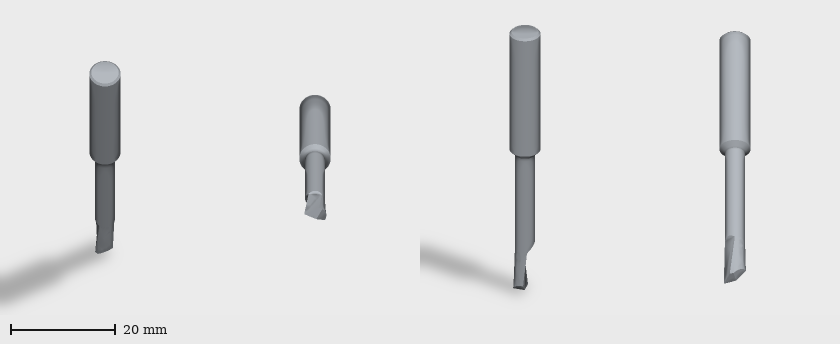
import cadquery as cq
import math

total_length = 57.0
shank_radius = 2.99
shank_bottom = 31.1
top_chamfer = 0.4
neck_radius = 1.95
neck_bottom = 9.1

tip_radius = 2.3
twist_angle = 26.0
heel_angle = 84.0
end_rise_x = 2.5
end_rise_y = 5.5
back_chamfer_x = 0.15
cutter_size = 11.4


def polar(radius, degrees):
    angle = math.radians(degrees)
    return (radius * math.cos(angle), radius * math.sin(angle))


def make_body():
    """Chamfered shank with a 45 degree shoulder down to the neck."""
    shoulder_height = shank_radius - neck_radius
    profile = (
        cq.Workplane("XZ")
        .moveTo(0, neck_bottom)
        .lineTo(neck_radius, neck_bottom)
        .lineTo(neck_radius, shank_bottom - shoulder_height)
        .lineTo(shank_radius, shank_bottom)
        .lineTo(shank_radius, total_length - top_chamfer)
        .lineTo(shank_radius - top_chamfer, total_length)
        .lineTo(0, total_length)
        .close()
    )
    return profile.revolve(360, (0, 0, 0), (0, 1, 0))


def sloped_runout(face_angle, face_distance):
    """Wedge that runs a blade face out through the neck at 45 degrees."""
    return (
        cq.Workplane("XZ")
        .moveTo(face_distance, neck_bottom)
        .lineTo(face_distance + cutter_size, neck_bottom)
        .lineTo(face_distance + cutter_size, neck_bottom + cutter_size)
        .close()
        .extrude(cutter_size / 2, both=True)
        .rotate((0, 0, 0), (0, 0, 1), face_angle)
    )


def blade_section(radius, turn):
    """Half-round wire: flat rake face, flat flank and round back."""
    cutting_edge = 180 + turn
    heel = cutting_edge + heel_angle
    back = cutting_edge + 180
    wire = (
        cq.Workplane("XY")
        .moveTo(*polar(radius, cutting_edge))
        .lineTo(*polar(radius, heel))
        .threePointArc(polar(radius, (heel + back) / 2), polar(radius, back))
        .close()
    )
    return wire.val()


def make_blade():
    """Twisted blade, trimmed by the relieved end face and back chamfer."""
    tip_wire = blade_section(tip_radius, 0)
    root_wire = blade_section(neck_radius, twist_angle).translate(cq.Vector(0, 0, neck_bottom))
    blade = cq.Workplane(cq.Solid.makeLoft([tip_wire, root_wire], True))

    end_cutter = (
        cq.Workplane("XY")
        .box(cutter_size, cutter_size, cutter_size)
        .translate((0, 0, -cutter_size / 2))
        .rotate((0, 0, 0), (1, 0, 0), -end_rise_y)
        .rotate((0, 0, 0), (0, 1, 0), -end_rise_x)
        .translate((-tip_radius, 0, 0))
    )
    chamfer_cutter = (
        cq.Workplane("XZ")
        .moveTo(back_chamfer_x, 0)
        .lineTo(back_chamfer_x + cutter_size, 0)
        .lineTo(back_chamfer_x + cutter_size, cutter_size)
        .close()
        .extrude(cutter_size / 2, both=True)
    )
    return blade.cut(end_cutter).cut(chamfer_cutter)


rake_normal_angle = 90 + twist_angle
flank_normal_angle = 180 + twist_angle + heel_angle / 2
flank_distance = neck_radius * math.cos(math.radians(heel_angle / 2))

body = make_body()
body = body.cut(sloped_runout(rake_normal_angle, 0))
body = body.cut(sloped_runout(flank_normal_angle, flank_distance))
result = body.union(make_blade())